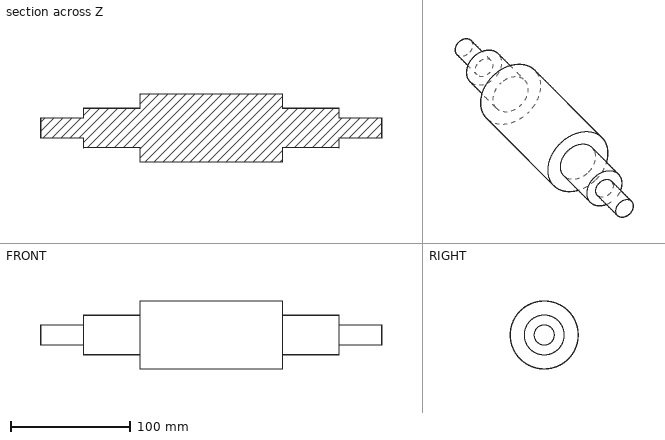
import cadquery as cq

total_length = 286.2
shoulder_span = 214.5
roller_length = 120.0

roller_diameter = 57.2
shoulder_diameter = 33.5
journal_diameter = 17.0


def centred_cylinder(length, diameter):
    """Solid cylinder along X, centred on the origin."""
    start_plane = cq.Workplane("YZ", origin=(-length / 2, 0, 0))
    return start_plane.circle(diameter / 2).extrude(length)


roller = centred_cylinder(roller_length, roller_diameter)
shoulders = centred_cylinder(shoulder_span, shoulder_diameter)
journals = centred_cylinder(total_length, journal_diameter)

result = roller.union(shoulders).union(journals)